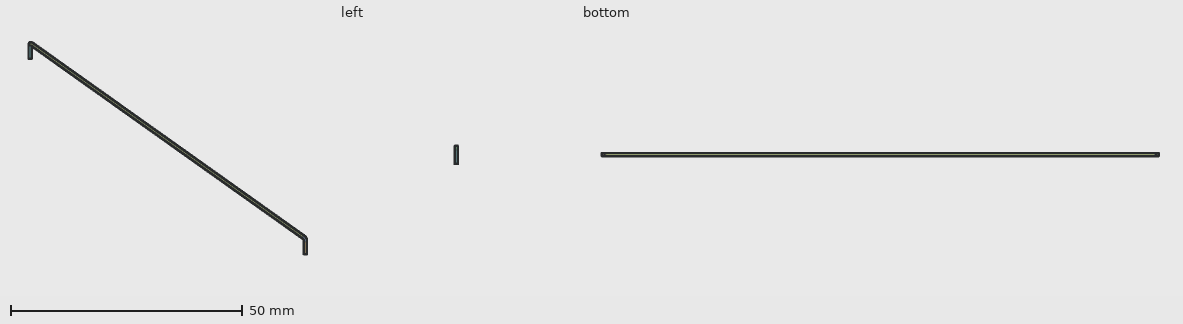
import cadquery as cq

wire_diameter = 0.75
leg_spacing = 120.0
leg_length = 3.0
bend_radius = 0.6

wire_radius = wire_diameter / 2
half_spacing = leg_spacing / 2
bar_axis_height = leg_length + bend_radius
bar_half_length = half_spacing - bend_radius


def straight_leg(side):
    """Vertical leg rising from Z = 0; side is -1 (left) or +1 (right)."""
    return (
        cq.Workplane("XY")
        .center(side * half_spacing, 0)
        .circle(wire_radius)
        .extrude(leg_length)
    )


def corner_bend(side):
    """Quarter-turn bend joining a leg to the long bar."""
    return (
        cq.Workplane("XY", origin=(side * half_spacing, 0, leg_length))
        .circle(wire_radius)
        .revolve(90, (-side * bend_radius, 0), (-side * bend_radius, -side))
    )


def long_bar():
    """Straight bar along X between the two bends."""
    return (
        cq.Workplane("YZ", origin=(-bar_half_length, 0, bar_axis_height))
        .circle(wire_radius)
        .extrude(2 * bar_half_length)
    )


result = long_bar()
for side in (-1, 1):
    result = result.union(corner_bend(side)).union(straight_leg(side))